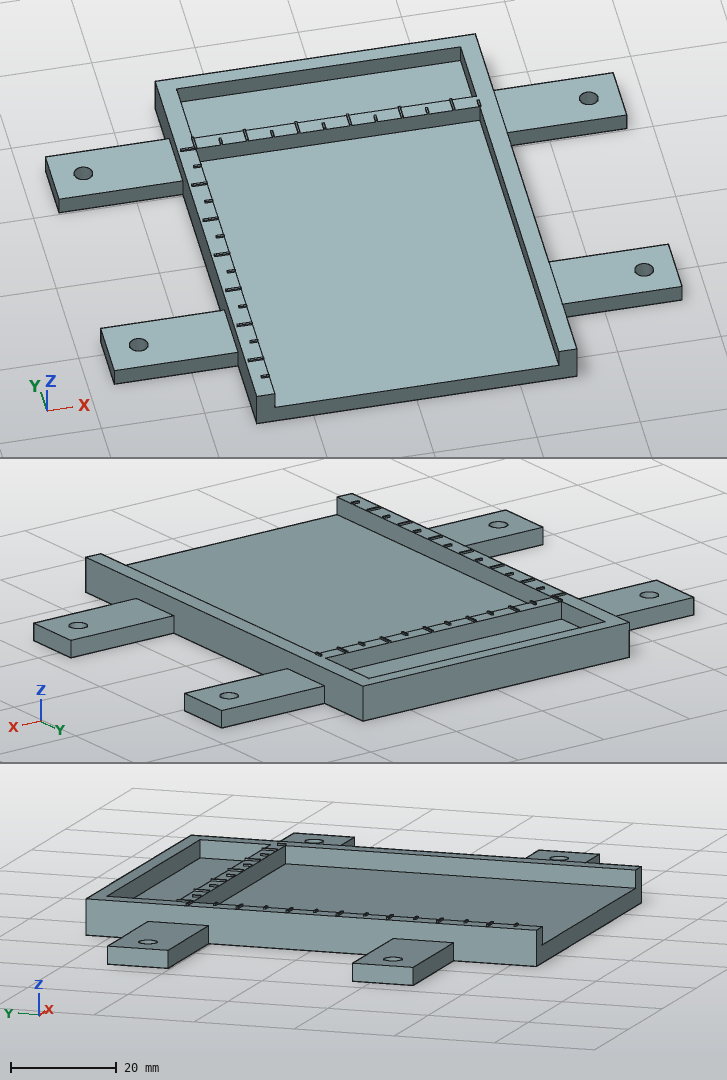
import cadquery as cq

tray_width = 62.0
tray_depth = 90.0
floor_thickness = 3.5
rim_height = 3.5
side_wall = 3.5
back_wall = 3.0

bar_width = back_wall
bar_setback = 17.0

strap_length = 110.0
strap_width = 12.1
front_strap_offset = 22.5
strap_spacing = 49.0
hole_diameter = 3.5
hole_end_distance = 6.0

mark_thickness = 0.4
mark_height = 0.3
long_mark = 3.0
short_mark = 1.5
rim_mark_count = 14
bar_mark_count = 12

rim_top = floor_thickness + rim_height
inner_width = tray_width - 2 * side_wall
inner_left = -inner_width / 2
mark_pitch = inner_width / (bar_mark_count - 1)
front_y = -tray_depth / 2
back_y = tray_depth / 2
bar_back_y = back_y - bar_setback
bar_front_y = bar_back_y - bar_width


def block(x_min, x_max, y_min, y_max, z_min, z_max):
    """Axis-aligned box given by its limits."""
    size = (x_max - x_min, y_max - y_min, z_max - z_min)
    return cq.Workplane("XY").box(*size, centered=False).translate((x_min, y_min, z_min))


def mark_length(index):
    """Marks alternate between long and short, starting with a long one."""
    return long_mark if index % 2 == 0 else short_mark


def make_tray():
    body = block(-tray_width / 2, tray_width / 2, front_y, back_y, 0, rim_top)
    recess = block(inner_left, -inner_left, front_y, back_y - back_wall, floor_thickness, rim_top)
    bar = block(inner_left, -inner_left, bar_front_y, bar_back_y, floor_thickness, rim_top)
    return body.cut(recess).union(bar)


def make_strap(y_center):
    hole_x = strap_length / 2 - hole_end_distance
    return (
        cq.Workplane("XY")
        .box(strap_length, strap_width, floor_thickness, centered=(True, True, False))
        .faces(">Z")
        .workplane()
        .pushPoints([(-hole_x, 0), (hole_x, 0)])
        .hole(hole_diameter)
        .translate((0, y_center, 0))
    )


def make_mark(x_min, x_max, y_min, y_max):
    return block(x_min, x_max, y_min, y_max, rim_top - mark_height, rim_top + mark_height)


def make_rim_mark(index):
    """Mark on the left rim, counted forward from the front face of the bar."""
    y_center = bar_front_y - index * mark_pitch
    return make_mark(
        inner_left - mark_length(index),
        inner_left,
        y_center - mark_thickness / 2,
        y_center + mark_thickness / 2,
    )


def make_bar_mark(index):
    """Mark on the bar, counted from the left inner wall to the right one."""
    x_center = inner_left + index * mark_pitch
    return make_mark(
        x_center - mark_thickness / 2,
        x_center + mark_thickness / 2,
        bar_front_y,
        bar_front_y + mark_length(index),
    )


result = make_tray()
for strap_y in (front_y + front_strap_offset, front_y + front_strap_offset + strap_spacing):
    result = result.union(make_strap(strap_y))
for i in range(rim_mark_count):
    result = result.union(make_rim_mark(i))
for i in range(bar_mark_count):
    result = result.union(make_bar_mark(i))